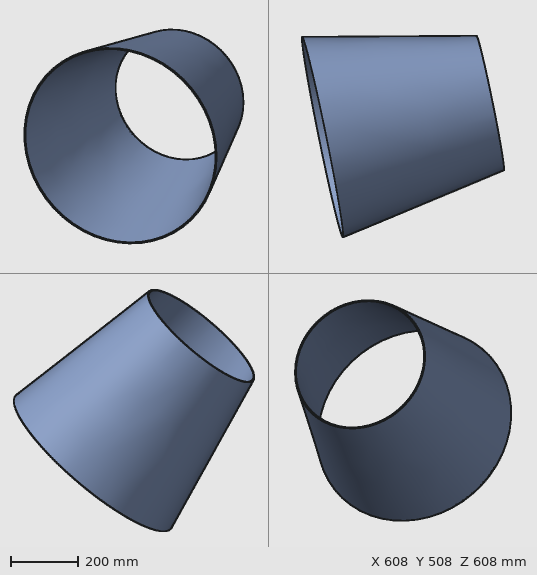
import cadquery as cq

large_diameter = 608.0
small_diameter = 408.0
length = 508.0
wall = 4.0

large_radius = large_diameter / 2
small_radius = small_diameter / 2

wall_section = (
    cq.Workplane("XY")
    .moveTo(large_radius - wall, 0)
    .lineTo(large_radius, 0)
    .lineTo(small_radius, length)
    .lineTo(small_radius - wall, length)
    .close()
)

result = wall_section.revolve(360, (0, 0, 0), (0, 1, 0))